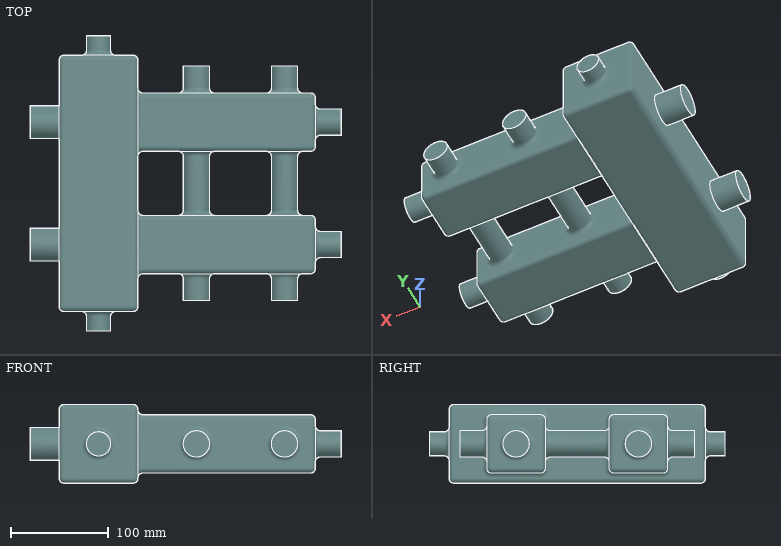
import cadquery as cq

HEADER_WIDTH = 80.6
HEADER_LENGTH = 262.0

ARM_SIZE = 59.8
ARM_LENGTH = 181.3
ARM_PITCH = 125.0

EDGE_RADIUS = 5.0
WELD_RADIUS = 5.0

INLET_DIAMETER = 33.7
INLET_LENGTH = 29.6

HEADER_NIPPLE_DIAMETER = 24.8
HEADER_NIPPLE_LENGTH = 20.0

BRANCH_DIAMETER = 27.0
BRANCH_LENGTH = 27.5
BRANCH_PITCH = 90.0
FIRST_BRANCH_OFFSET = 59.7

ARM_NIPPLE_DIAMETER = 27.0
ARM_NIPPLE_LENGTH = 26.5

HEADER_FACE_X = HEADER_WIDTH / 2
HEADER_END_Y = HEADER_LENGTH / 2
ARM_END_X = HEADER_FACE_X + ARM_LENGTH
ARM_CENTRES_Y = (-ARM_PITCH / 2, ARM_PITCH / 2)
ARM_INNER_Y = (ARM_PITCH - ARM_SIZE) / 2
ARM_OUTER_Y = (ARM_PITCH + ARM_SIZE) / 2
FIRST_BRANCH_X = HEADER_FACE_X + FIRST_BRANCH_OFFSET
BRANCH_CENTRES_X = (FIRST_BRANCH_X, FIRST_BRANCH_X + BRANCH_PITCH)

SEAM_MARGIN = 1.0

PLUS_X = (1, 0, 0)
MINUS_X = (-1, 0, 0)
PLUS_Y = (0, 1, 0)
MINUS_Y = (0, -1, 0)


def make_header():
    """Square box with every edge rounded."""
    return cq.Workplane("XY").box(HEADER_WIDTH, HEADER_LENGTH, HEADER_WIDTH).edges().fillet(EDGE_RADIUS)


def add_arm(body, centre_y):
    """Square arm with rounded edges and a weld fillet where it meets the header."""
    arm = (
        cq.Workplane("XY")
        .box(ARM_LENGTH, ARM_SIZE, ARM_SIZE)
        .edges("|X or >X")
        .fillet(EDGE_RADIUS)
        .translate((HEADER_FACE_X + ARM_LENGTH / 2, centre_y, 0))
    )
    half_seam = ARM_SIZE / 2 + SEAM_MARGIN
    seam = cq.selectors.BoxSelector(
        (HEADER_FACE_X - SEAM_MARGIN, centre_y - half_seam, -half_seam),
        (HEADER_FACE_X + SEAM_MARGIN, centre_y + half_seam, half_seam),
        boundingbox=True,
    )
    return body.union(arm).edges(seam).fillet(WELD_RADIUS)


def make_pipe(foot, direction, diameter, length):
    """Solid round pipe standing on the point `foot`."""
    return cq.Workplane(cq.Plane(origin=foot, normal=direction)).circle(diameter / 2).extrude(length)


def weld(body, foot):
    """Fillet the round seam centred on the point `foot`."""
    return body.edges(cq.selectors.NearestToPointSelector(foot)).fillet(WELD_RADIUS)


def add_nipple(body, foot, direction, diameter, length):
    """Pipe welded to the face it stands on."""
    pipe = make_pipe(foot, direction, diameter, length)
    return weld(body.union(pipe), foot)


def add_inlets(body):
    """Plain stub opposite each arm, without a weld fillet."""
    for centre_y in ARM_CENTRES_Y:
        foot = (-HEADER_FACE_X, centre_y, 0)
        body = body.union(make_pipe(foot, MINUS_X, INLET_DIAMETER, INLET_LENGTH))
    return body


def add_header_nipples(body):
    """Nipple on each end of the header."""
    for side, direction in ((-1, MINUS_Y), (1, PLUS_Y)):
        foot = (0, side * HEADER_END_Y, 0)
        body = add_nipple(body, foot, direction, HEADER_NIPPLE_DIAMETER, HEADER_NIPPLE_LENGTH)
    return body


def add_arm_nipples(body):
    """Nipple on the free end of each arm."""
    for centre_y in ARM_CENTRES_Y:
        foot = (ARM_END_X, centre_y, 0)
        body = add_nipple(body, foot, PLUS_X, ARM_NIPPLE_DIAMETER, ARM_NIPPLE_LENGTH)
    return body


def add_branches(body):
    """Connecting pipe between the arms and a nipple on each outer side, at every branch."""
    for x in BRANCH_CENTRES_X:
        lower_foot = (x, -ARM_INNER_Y, 0)
        upper_foot = (x, ARM_INNER_Y, 0)
        body = body.union(make_pipe(lower_foot, PLUS_Y, BRANCH_DIAMETER, 2 * ARM_INNER_Y))
        body = weld(body, lower_foot)
        body = weld(body, upper_foot)
        for side, direction in ((-1, MINUS_Y), (1, PLUS_Y)):
            foot = (x, side * ARM_OUTER_Y, 0)
            body = add_nipple(body, foot, direction, BRANCH_DIAMETER, BRANCH_LENGTH)
    return body


manifold = make_header()
for arm_y in ARM_CENTRES_Y:
    manifold = add_arm(manifold, arm_y)
manifold = add_inlets(manifold)
manifold = add_header_nipples(manifold)
manifold = add_arm_nipples(manifold)
manifold = add_branches(manifold)

result = manifold